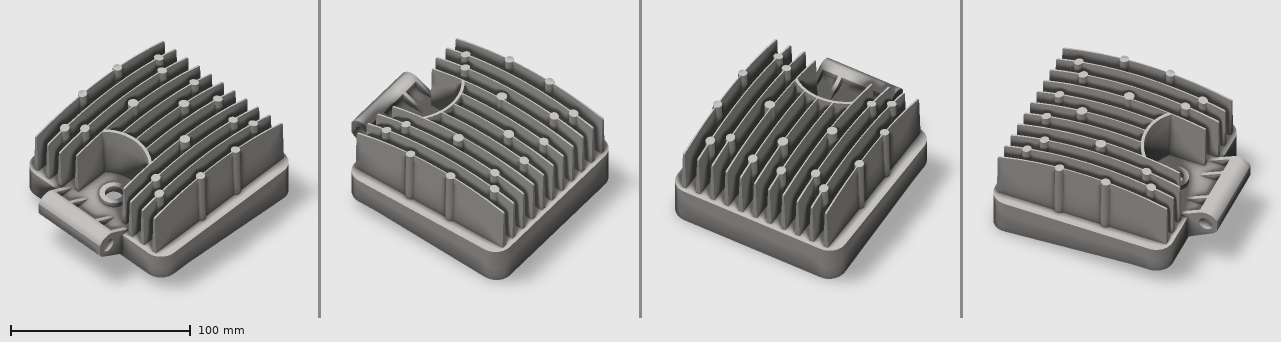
import cadquery as cq
import math


side = 108.0
corner_radius = 10.1
wall = 2.0
plate_thickness = 1.0
front_depth = 16.8
back_depth = 22.8
level_rim_length = 21.2

crown_height = 34.0
crown_drop = 6.9
crown_flat = 2.5
crown_corner_radius = 1.3
crown_half_length = 51.3

fin_count = 11
fin_row_width = 91.3
fin_pitch = fin_row_width / (fin_count - 1)
fin_base_width = 3.0
fin_top_width = 0.6

peg_base_diameter = 6.0
peg_top_diameter = 5.2
screw_peg_diameter = 5.9
screw_peg_circle_radius = 20.0
outer_peg_y = 14.0
far_peg_y = 37.7
near_peg_y = 31.0

alcove_front_y = -47.1
alcove_outer_radius = 29.0
alcove_inner_radius = 27.2
alcove_fin_step = 2

hole_y = -36.2
hole_diameter = 10.1
collar_diameter = 16.1
collar_height = 3.4

hinge_width = 47.4
hinge_reach = 18.0
pin_hole_diameter = 8.0
pin_y = -65.1
knuckle_radius = 7.8
knuckle_z = 0.5
knuckle_back_y = -60.6
rib_heel_depth = 15.1
outer_rib_width = 2.5
inner_rib_width = 2.3
inner_rib_x = 10.1
web_depth = 8.8
web_fillet = 3.9

front_y = -side / 2
back_y = side / 2
hinge_end_y = front_y - hinge_reach
alcove_half_width = alcove_fin_step * fin_pitch


def along_x(profile, width, x_centre=0):
    """Extrude a profile drawn on the YZ plane, centred on x_centre."""
    return profile.extrude(width / 2, both=True).translate((x_centre, 0, 0))


def rounded_block(width, radius, depth):
    """Square block with rounded vertical edges, hanging below z = 0."""
    return cq.Workplane("XY").rect(width, width).extrude(-depth).edges("|Z").fillet(radius)


def shell():
    outer = rounded_block(side, corner_radius, back_depth)
    inner = rounded_block(side - 2 * wall, corner_radius - wall, back_depth)
    cavity = inner.translate((0, 0, -plate_thickness))
    below_rim = (
        cq.Workplane("YZ")
        .moveTo(front_y, -front_depth)
        .lineTo(front_y + level_rim_length, -front_depth)
        .lineTo(back_y, -back_depth)
        .lineTo(back_y, -2 * back_depth)
        .lineTo(front_y, -2 * back_depth)
        .close()
    )
    return outer.cut(cavity).cut(along_x(below_rim, side))


def crown_envelope():
    """Space under the domed crown, with rounded ends."""
    end_z = crown_height - crown_drop
    flat_half = crown_flat / 2
    radius = (crown_half_length**2 + crown_drop**2) / (2 * crown_drop)
    middle_y = (crown_half_length + flat_half) / 2
    middle_z = crown_height - radius + math.sqrt(radius**2 - middle_y**2)
    profile = (
        cq.Workplane("YZ")
        .moveTo(-crown_half_length, 0)
        .lineTo(-crown_half_length, end_z)
        .threePointArc((-middle_y, middle_z), (-flat_half, crown_height))
        .lineTo(flat_half, crown_height)
        .threePointArc((middle_y, middle_z), (crown_half_length, end_z))
        .lineTo(crown_half_length, 0)
        .close()
    )
    block = along_x(profile, side)
    end_edges = block.faces("<Y or >Y").edges(">Z")
    return end_edges.fillet(crown_corner_radius)


def fin(x, start_y):
    """Fin that narrows towards its top, from start_y to the back end of the crown."""
    return (
        cq.Workplane("XZ", origin=(x, start_y, 0))
        .moveTo(-fin_base_width / 2, 0)
        .lineTo(fin_base_width / 2, 0)
        .lineTo(fin_top_width / 2, crown_height)
        .lineTo(-fin_top_width / 2, crown_height)
        .close()
        .extrude(start_y - crown_half_length)
    )


def fins():
    alcove_wall_radius = (alcove_outer_radius + alcove_inner_radius) / 2
    middle = fin_count // 2
    bodies = []
    for step in range(-middle, middle + 1):
        x = step * fin_pitch
        if abs(step) < alcove_fin_step:
            start_y = alcove_front_y + math.sqrt(alcove_wall_radius**2 - x**2)
        elif abs(step) == alcove_fin_step:
            start_y = alcove_front_y
        else:
            start_y = -crown_half_length
        bodies.append(fin(x, start_y))
    return bodies


def peg(x, y, base_diameter, top_diameter):
    return cq.Workplane(
        cq.Solid.makeCone(base_diameter / 2, top_diameter / 2, crown_height, pnt=cq.Vector(x, y, 0))
    )


def pegs():
    mirrored_pegs = ((5, outer_peg_y), (4, far_peg_y), (3, near_peg_y))
    places = [(-fin_pitch, far_peg_y), (fin_pitch, far_peg_y)]
    for step, y in mirrored_pegs:
        for x_sign in (-1, 1):
            for y_sign in (-1, 1):
                places.append((x_sign * step * fin_pitch, y_sign * y))
    return [peg(x, y, peg_base_diameter, peg_top_diameter) for x, y in places]


def screw_pegs():
    """Three straight pegs, a quarter turn apart on one circle."""
    bodies = []
    for angle in (0, 90, 180):
        x = screw_peg_circle_radius * math.cos(math.radians(angle))
        y = screw_peg_circle_radius * math.sin(math.radians(angle))
        bodies.append(
            cq.Workplane("XY").center(x, y).circle(screw_peg_diameter / 2).extrude(crown_height)
        )
    return bodies


def alcove_wall():
    ring = (
        cq.Workplane("XY", origin=(0, alcove_front_y, 0))
        .circle(alcove_outer_radius)
        .circle(alcove_inner_radius)
        .extrude(crown_height)
    )
    kept = (
        cq.Workplane("XY", origin=(0, alcove_front_y, 0))
        .rect(2 * alcove_half_width, 2 * alcove_outer_radius)
        .extrude(crown_height)
    )
    back_half = cq.Workplane("XY").box(side, side, crown_height, centered=(True, False, False))
    return ring.intersect(kept).intersect(back_half.translate((0, alcove_front_y, 0)))


def knuckle_tangent(y, z, side_sign):
    """Point where the line from (y, z) touches the knuckle: above it for +1, below for -1."""
    distance = math.hypot(y - pin_y, z - knuckle_z)
    bearing = math.atan2(z - knuckle_z, y - pin_y)
    angle = bearing + side_sign * math.acos(knuckle_radius / distance)
    return pin_y + knuckle_radius * math.cos(angle), knuckle_z + knuckle_radius * math.sin(angle)


def hinge_cheek():
    """Side outline of the hinge: a round knuckle joined to the shell by two straight flanks."""
    return (
        cq.Workplane("YZ")
        .moveTo(alcove_front_y, 0)
        .lineTo(*knuckle_tangent(alcove_front_y, 0, 1))
        .threePointArc(
            (pin_y - knuckle_radius, knuckle_z), knuckle_tangent(front_y, -rib_heel_depth, -1)
        )
        .lineTo(front_y, -rib_heel_depth)
        .lineTo(front_y, 0)
        .close()
    )


def upper_pocket():
    """Outline of the gap between ribs above the web, with a fillet at the knuckle."""
    return (
        cq.Workplane("YZ")
        .moveTo(0, 0)
        .lineTo(knuckle_back_y + web_fillet, 0)
        .radiusArc((knuckle_back_y, web_fillet), web_fillet)
        .lineTo(knuckle_back_y, crown_height)
        .lineTo(0, crown_height)
        .close()
    )


def lower_pocket():
    """Outline of the gap between ribs below the web."""
    return (
        cq.Workplane("YZ")
        .moveTo(front_y, -web_depth)
        .lineTo(hinge_end_y, -web_depth)
        .lineTo(hinge_end_y, -back_depth)
        .lineTo(front_y, -back_depth)
        .close()
    )


def hinge():
    solid = along_x(hinge_cheek(), hinge_width)
    inner_edge = inner_rib_x - inner_rib_width / 2
    outer_edge = inner_rib_x + inner_rib_width / 2
    cheek_face = hinge_width / 2 - outer_rib_width
    side_width = cheek_face - outer_edge
    side_x = (cheek_face + outer_edge) / 2
    for width, x in ((2 * inner_edge, 0), (side_width, -side_x), (side_width, side_x)):
        solid = solid.cut(along_x(upper_pocket(), width, x))
        solid = solid.cut(along_x(lower_pocket(), width, x))
    end_cut = cq.Workplane("XY").box(side, side, side).translate((0, hinge_end_y - side / 2, 0))
    pin_hole = cq.Workplane("YZ").center(pin_y, 0).circle(pin_hole_diameter / 2)
    return solid.cut(end_cut).cut(along_x(pin_hole, hinge_width))


def make_housing():
    standing = alcove_wall()
    for body in fins() + pegs() + screw_pegs():
        standing = standing.union(body)
    standing = standing.intersect(crown_envelope())
    hole = (
        cq.Workplane("XY", origin=(0, hole_y, 0)).circle(hole_diameter / 2).extrude(-plate_thickness)
    )
    return shell().union(standing).union(hinge()).cut(hole)


def make_collar():
    """Plain ring resting on the plate, in line with the hole."""
    return (
        cq.Workplane("XY", origin=(0, hole_y, 0))
        .circle(collar_diameter / 2)
        .circle(hole_diameter / 2)
        .extrude(collar_height)
    )


housing = make_housing()
collar = make_collar()

result = cq.Compound.makeCompound([housing.val(), collar.val()])